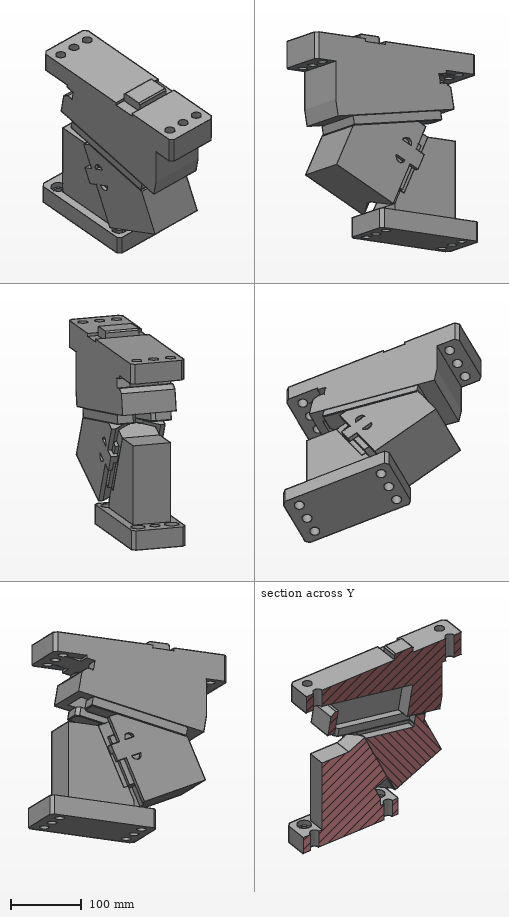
import cadquery as cq
import math


WIDTH = 80.0
HALF_WIDTH = WIDTH / 2
CORNER_CHAMFER = 5.0
HOLE_DIAMETER = 14.0
HOLE_PITCH = 25.0
HOLE_INSET = 20.0
CLEARANCE = 0.3

BASE_LENGTH = 165.2
BASE_THICKNESS = 28.2
BASE_FRONT_HOLE_X = 148.0
COUNTERBORE_DIAMETER = 20.0
COUNTERBORE_DEPTH = 8.5
POST_HALF_WIDTH = 28.0
POST_BACK_X = 32.6
POST_FRONT_X = 134.8
POST_TOP_Z = 143.5
POST_TOP_END_X = 79.0

SLOPE_ANGLE = 25.0
GUIDE_LENGTH = 94.9
GUIDE_HALF_WIDTH = POST_HALF_WIDTH - CLEARANCE
FLANGE_START = 20.0
FLANGE_UNDERSIDE = 7.0
FLANGE_HALF_WIDTH = 33.2
ROOF_ANGLE = 30.0
ROOF_FLAT_HALF_WIDTH = 5.3

CHANNEL_HALF_WIDTH = FLANGE_HALF_WIDTH + CLEARANCE
SLIDER_TOP_END = -5.5
SLIDER_LOW_END = 124.7
SLIDER_UNDERSIDE = 15.0
SLIDER_OUTER_FACE = 120.2
CLAW_START = 32.6
CLAW_END = 57.5
CLAW_HALF_GAP = 34.3
HOOK_END = 44.6
HOOK_HALF_GAP = 29.0
CLAW_BOTTOM = 0.3
POCKET_RADIUS = 7.5
POCKET_HEIGHT = 32.5
POCKET_DEPTH = 5.5

SEAT_ANGLE = 10.0
SEAT_START_X = 42.7
SEAT_START_Z = 186.0
SEAT_LENGTH = 198.5

PLATE_START = 23.5
PLATE_END = 173.0
PLATE_TOP = -0.8
PLATE_BOTTOM = -14.5
PLATE_EDGE_CHAMFER = 1.0
SLOT_HALF_WIDTH = 11.5
SLOT_END = 154.8
SLOT_FLOOR = PLATE_BOTTOM - 5.0
SLOT_LEAD_IN = 5.3

DRIVER_BACK_X = 5.3
DRIVER_FRONT_X = 275.0
DRIVER_TOP_Z = 269.2
BACK_ARM_UNDERSIDE_Z = 240.5
FRONT_ARM_UNDERSIDE_Z = 230.5
BODY_FRONT_X = 242.2
NOTCH_MOUTH_X = 55.5
NOTCH_TOP = 52.0
NOTCH_END = 16.7
LIP_TOP = 38.0
LIP_BEVEL_START = 31.0
LIP_BEVEL_END = 7.8
CAVITY_HALF_WIDTH = 21.2
CAVITY_START = 12.5
CAVITY_END = 140.3
KEY_SLOT_FLOOR_Z = 265.0
KEY_START_X = 158.5
KEY_LENGTH = 33.2
KEY_HALF_WIDTH = 24.8
KEY_TOP_Z = 279.0
KEY_CHAMFER = 2.2

OVERSIZE = 167.5

sin_slope = math.sin(math.radians(SLOPE_ANGLE))
cos_slope = math.cos(math.radians(SLOPE_ANGLE))
sin_seat = math.sin(math.radians(SEAT_ANGLE))
cos_seat = math.cos(math.radians(SEAT_ANGLE))

guide_origin = (POST_TOP_END_X, 0, POST_TOP_Z)
guide_side = cq.Plane(guide_origin, xDir=(sin_slope, 0, -cos_slope), normal=(0, -1, 0))
guide_section = cq.Plane(guide_origin, xDir=(0, 1, 0), normal=(sin_slope, 0, -cos_slope))
notch_mouth = (NOTCH_MOUTH_X - SEAT_START_X - NOTCH_TOP * sin_seat) / cos_seat

seat_side = cq.Plane(
    (SEAT_START_X, 0, SEAT_START_Z), xDir=(cos_seat, 0, -sin_seat), normal=(0, -1, 0)
)
seat_plan = cq.Plane(
    (SEAT_START_X, 0, SEAT_START_Z), xDir=(cos_seat, 0, -sin_seat), normal=(sin_seat, 0, cos_seat)
)


def guide_point(s, n):
    """X and Z of a point given along and out of the guide slope."""
    return (
        POST_TOP_END_X + s * sin_slope + n * cos_slope,
        POST_TOP_Z - s * cos_slope + n * sin_slope,
    )


def seat_point(u, v):
    """X and Z of a point given along and out of the driver seat."""
    return (
        SEAT_START_X + u * cos_seat + v * sin_seat,
        SEAT_START_Z - u * sin_seat + v * cos_seat,
    )


def roof_height(y):
    """Height n of the guide roof at a distance y from the middle."""
    return SLIDER_UNDERSIDE + (CHANNEL_HALF_WIDTH - y) * math.tan(math.radians(ROOF_ANGLE))


def bar(plane, start, end, bottom, top, y_min, y_max):
    """Rectangular bar in a side plane, between two Y positions."""
    return (
        cq.Workplane(plane)
        .workplane(offset=-y_max)
        .moveTo(start, bottom)
        .rect(end - start, top - bottom, centered=False)
        .extrude(y_max - y_min)
    )


def mirrored(half):
    """The shape together with its mirror image across the middle plane."""
    return half.union(half.mirror("XZ"))


def hole_row(x):
    return [(x, step * HOLE_PITCH) for step in (-1, 0, 1)]


def roofed_section(half_width, bottom, start, end):
    """Bar along the slope with a flat bottom and a truncated V roof."""
    side_height = roof_height(half_width)
    ridge_height = roof_height(ROOF_FLAT_HALF_WIDTH)
    outline = [
        (-half_width, bottom),
        (half_width, bottom),
        (half_width, side_height),
        (ROOF_FLAT_HALF_WIDTH, ridge_height),
        (-ROOF_FLAT_HALF_WIDTH, ridge_height),
        (-half_width, side_height),
    ]
    return (
        cq.Workplane(guide_section)
        .workplane(offset=start)
        .polyline(outline)
        .close()
        .extrude(end - start)
    )


def make_base_plate():
    plate = (
        cq.Workplane("XY")
        .box(BASE_LENGTH, WIDTH, BASE_THICKNESS, centered=(False, True, False))
        .edges("|Z")
        .chamfer(CORNER_CHAMFER)
    )
    for x in (HOLE_INSET, BASE_FRONT_HOLE_X):
        back, middle, front = hole_row(x)
        top = plate.faces(">Z").workplane(origin=(0, 0, BASE_THICKNESS))
        plate = top.pushPoints([back, front]).cboreHole(
            HOLE_DIAMETER, COUNTERBORE_DIAMETER, COUNTERBORE_DEPTH
        )
        top = plate.faces(">Z").workplane(origin=(0, 0, BASE_THICKNESS))
        plate = top.pushPoints([middle]).hole(HOLE_DIAMETER)
    return plate


def make_post():
    slope_start_x, slope_start_z = guide_point(GUIDE_LENGTH, FLANGE_UNDERSIDE)
    slope_end_z = slope_start_z - (POST_FRONT_X - slope_start_x) * cos_slope / sin_slope
    outline = [
        (POST_BACK_X, BASE_THICKNESS),
        (POST_BACK_X, POST_TOP_Z),
        (POST_TOP_END_X, POST_TOP_Z),
        guide_point(GUIDE_LENGTH, 0),
        (slope_start_x, slope_start_z),
        (POST_FRONT_X, slope_end_z),
        (POST_FRONT_X, BASE_THICKNESS),
    ]
    return cq.Workplane("XZ").polyline(outline).close().extrude(POST_HALF_WIDTH, both=True)


def make_base():
    guide = roofed_section(GUIDE_HALF_WIDTH, 0, 0, GUIDE_LENGTH)
    flanges = roofed_section(FLANGE_HALF_WIDTH, FLANGE_UNDERSIDE, FLANGE_START, GUIDE_LENGTH)
    return make_base_plate().union(make_post()).union(guide).union(flanges)


def make_slide_plate():
    """Plate on top of the slider, split into two strips by a slot with a chamfered mouth."""
    mouth_half_width = SLOT_HALF_WIDTH + SLOT_LEAD_IN
    outline = [
        (PLATE_START, mouth_half_width),
        (PLATE_START, HALF_WIDTH),
        (PLATE_END, HALF_WIDTH),
        (PLATE_END, -HALF_WIDTH),
        (PLATE_START, -HALF_WIDTH),
        (PLATE_START, -mouth_half_width),
        (PLATE_START + SLOT_LEAD_IN, -SLOT_HALF_WIDTH),
        (SLOT_END, -SLOT_HALF_WIDTH),
        (SLOT_END, SLOT_HALF_WIDTH),
        (PLATE_START + SLOT_LEAD_IN, SLOT_HALF_WIDTH),
    ]
    plate = (
        cq.Workplane(seat_plan)
        .workplane(offset=PLATE_BOTTOM)
        .polyline(outline)
        .close()
        .extrude(PLATE_TOP - PLATE_BOTTOM)
    )
    lowest_face = cq.DirectionMinMaxSelector(seat_plan.zDir, directionMax=False)
    return plate.faces(lowest_face).edges().chamfer(PLATE_EDGE_CHAMFER)


def make_claw():
    """Claw on the +Y side that hooks under the guide flange."""
    cheek = bar(
        guide_side, CLAW_START, CLAW_END, CLAW_BOTTOM, SLIDER_UNDERSIDE,
        CLAW_HALF_GAP, HALF_WIDTH,
    )
    hook = bar(
        guide_side, CLAW_START, HOOK_END, CLAW_BOTTOM, FLANGE_UNDERSIDE - CLEARANCE,
        HOOK_HALF_GAP, HALF_WIDTH,
    )
    return cheek.union(hook)


def make_side_pockets():
    """Two half-round pockets on the +Y side, in line with the ends of the claw."""
    discs = (
        cq.Workplane(guide_side)
        .workplane(offset=-HALF_WIDTH)
        .pushPoints([(CLAW_START, POCKET_HEIGHT), (CLAW_END, POCKET_HEIGHT)])
        .circle(POCKET_RADIUS)
        .extrude(POCKET_DEPTH)
    )
    band = bar(guide_side, CLAW_START, CLAW_END, 0, SLIDER_OUTER_FACE, 0, HALF_WIDTH)
    return discs.cut(band)


def make_slider():
    block = bar(
        guide_side, SLIDER_TOP_END, SLIDER_LOW_END, SLIDER_UNDERSIDE, SLIDER_OUTER_FACE,
        -HALF_WIDTH, HALF_WIDTH,
    )
    above_block = bar(
        seat_side, -OVERSIZE, SEAT_LENGTH + OVERSIZE, PLATE_BOTTOM, OVERSIZE,
        -HALF_WIDTH, HALF_WIDTH,
    )
    roof_channel = roofed_section(CHANNEL_HALF_WIDTH, 0, SLIDER_TOP_END, SLIDER_LOW_END)
    slot = bar(seat_side, 0, SLOT_END, SLOT_FLOOR, PLATE_TOP, -SLOT_HALF_WIDTH, SLOT_HALF_WIDTH)
    return (
        block.cut(above_block)
        .cut(roof_channel)
        .union(make_slide_plate())
        .cut(slot)
        .union(mirrored(make_claw()))
        .cut(mirrored(make_side_pockets()))
    )


def make_driver_body():
    seat_end_x = seat_point(SEAT_LENGTH, 0)[0]
    front_corner = seat_point(SEAT_LENGTH, (BODY_FRONT_X - seat_end_x) / sin_seat)
    outline = [
        (DRIVER_BACK_X, DRIVER_TOP_Z),
        (DRIVER_BACK_X, BACK_ARM_UNDERSIDE_Z),
        (NOTCH_MOUTH_X, BACK_ARM_UNDERSIDE_Z),
        seat_point(notch_mouth, NOTCH_TOP),
        seat_point(NOTCH_END, NOTCH_TOP),
        seat_point(NOTCH_END, LIP_TOP),
        seat_point(LIP_BEVEL_END, LIP_TOP),
        seat_point(0, LIP_BEVEL_START),
        seat_point(0, 0),
        seat_point(SEAT_LENGTH, 0),
        front_corner,
        (BODY_FRONT_X, FRONT_ARM_UNDERSIDE_Z),
        (DRIVER_FRONT_X, FRONT_ARM_UNDERSIDE_Z),
        (DRIVER_FRONT_X, DRIVER_TOP_Z),
    ]
    body = cq.Workplane("XZ").polyline(outline).close().extrude(HALF_WIDTH, both=True)
    end_edges = body.faces("<X or >X").edges("|Z")
    return end_edges.chamfer(CORNER_CHAMFER)


def make_notch_wedge():
    """Wedge in the middle that carries the notch ceiling back to the underside of the arm."""
    ceiling_rise = BACK_ARM_UNDERSIDE_Z - SEAT_START_Z - NOTCH_TOP * cos_seat
    wedge_start = -ceiling_rise / sin_seat
    outline = [
        seat_point(wedge_start, NOTCH_TOP),
        seat_point(notch_mouth, NOTCH_TOP),
        (NOTCH_MOUTH_X, BACK_ARM_UNDERSIDE_Z),
    ]
    return cq.Workplane("XZ").polyline(outline).close().extrude(CAVITY_HALF_WIDTH, both=True)


def make_key():
    key = cq.Workplane("XY").box(
        KEY_LENGTH, 2 * KEY_HALF_WIDTH, KEY_TOP_Z - KEY_SLOT_FLOOR_Z, centered=(False, True, False)
    )
    key = key.faces(">Z").edges("|Y").chamfer(KEY_CHAMFER)
    return key.translate((KEY_START_X, 0, KEY_SLOT_FLOOR_Z))


def make_driver():
    cavity = bar(
        seat_side, CAVITY_START, CAVITY_END, 0, NOTCH_TOP, -CAVITY_HALF_WIDTH, CAVITY_HALF_WIDTH
    )
    key_slot = cq.Workplane("XY").box(
        KEY_LENGTH, WIDTH, DRIVER_TOP_Z - KEY_SLOT_FLOOR_Z, centered=(False, True, False)
    )
    key_slot = key_slot.translate((KEY_START_X, 0, KEY_SLOT_FLOOR_Z))
    holes = (
        cq.Workplane("XY")
        .pushPoints(hole_row(DRIVER_BACK_X + HOLE_INSET) + hole_row(DRIVER_FRONT_X - HOLE_INSET))
        .circle(HOLE_DIAMETER / 2)
        .extrude(DRIVER_TOP_Z)
    )
    return (
        make_driver_body()
        .union(make_notch_wedge())
        .cut(cavity)
        .cut(key_slot)
        .cut(holes)
        .union(make_key())
    )


base = make_base().solids().val()
slider = make_slider().solids().val()
driver = make_driver().solids().val()

result = cq.Compound.makeCompound([base, slider, driver])